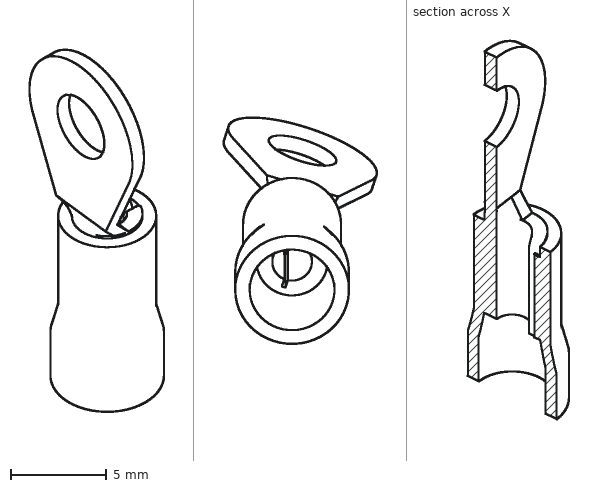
import cadquery as cq
import math

FLARE_DIAMETER = 5.97
SLEEVE_DIAMETER = 5.15
FLARE_BORE = 4.45
FLARE_HEIGHT = 2.98
TAPER_TOP = 4.7
SLEEVE_TOP = 10.92

BARREL_DIAMETER = 3.71
BARREL_BORE = 2.08
BARREL_TOP = 11.07
SEAM_WIDTH = 0.2
SEAM_DEPTH = 0.42
SEAM_ROUNDING = 0.85

TOTAL_HEIGHT = 22.1
RING_DIAMETER = 8.18
STUD_HOLE_DIAMETER = 3.71
TONGUE_BACK = -1.02
TONGUE_THICKNESS = 0.82
TONGUE_BOTTOM = 12.09
TONGUE_BASE_WIDTH = 3.93
SIDE_TOP_Z = 16.7

NECK_END_Y = -0.13
NECK_CORNER_Y = -0.97
NECK_INNER_HALF_WIDTH = 1.22

TONGUE_FRONT = TONGUE_BACK - TONGUE_THICKNESS
RING_RADIUS = RING_DIAMETER / 2
RING_CENTRE_Z = TOTAL_HEIGHT - RING_RADIUS
BARREL_RADIUS = BARREL_DIAMETER / 2
BARREL_BORE_RADIUS = BARREL_BORE / 2


def make_sleeve():
    """Revolved sleeve whose lower wire entry flares outwards."""
    profile = [
        (FLARE_BORE / 2, 0),
        (FLARE_DIAMETER / 2, 0),
        (FLARE_DIAMETER / 2, FLARE_HEIGHT),
        (SLEEVE_DIAMETER / 2, TAPER_TOP),
        (SLEEVE_DIAMETER / 2, SLEEVE_TOP),
        (BARREL_RADIUS, SLEEVE_TOP),
        (BARREL_RADIUS, TAPER_TOP),
        (FLARE_BORE / 2, FLARE_HEIGHT),
    ]
    return cq.Workplane("XZ").polyline(profile).close().revolve(360, (0, 0), (0, 1))


def make_barrel():
    """Tube with a seam on its +Y side and rounded seam corners at the top."""
    height = BARREL_TOP - TAPER_TOP
    tube = (
        cq.Workplane("XY", origin=(0, 0, TAPER_TOP))
        .circle(BARREL_RADIUS)
        .circle(BARREL_BORE_RADIUS)
        .extrude(height)
    )
    seam_end = BARREL_BORE_RADIUS + SEAM_DEPTH
    seam = (
        cq.Workplane("XY", origin=(0, seam_end / 2, TAPER_TOP))
        .rect(SEAM_WIDTH, seam_end)
        .extrude(height)
    )
    half_seam = SEAM_WIDTH / 2
    outer_x = half_seam + SEAM_ROUNDING
    low_z = BARREL_TOP - SEAM_ROUNDING
    mid_x = outer_x - SEAM_ROUNDING * math.sqrt(0.5)
    mid_z = low_z + SEAM_ROUNDING * math.sqrt(0.5)
    rounding = (
        cq.Workplane("XZ")
        .moveTo(-outer_x, BARREL_TOP)
        .threePointArc((-mid_x, mid_z), (-half_seam, low_z))
        .lineTo(half_seam, low_z)
        .threePointArc((mid_x, mid_z), (outer_x, BARREL_TOP))
        .close()
        .extrude(-BARREL_RADIUS)
    )
    return tube.cut(seam).cut(rounding)


def on_circle(radius, y):
    """Point on the +X half of a circle at the given Y."""
    return (math.sqrt(radius**2 - y**2), y)


def mirrored(point):
    return (-point[0], point[1])


def make_neck():
    """Ruled transition from the front part of the barrel ring to the tongue."""
    corner = on_circle(BARREL_RADIUS, NECK_CORNER_Y)
    side = on_circle(BARREL_RADIUS, (NECK_CORNER_Y + NECK_END_Y) / 2)
    outer_end = on_circle(BARREL_RADIUS, NECK_END_Y)
    inner_end = on_circle(BARREL_BORE_RADIUS, NECK_END_Y)
    half_base = TONGUE_BASE_WIDTH / 2
    return (
        cq.Workplane("XY", origin=(0, 0, BARREL_TOP))
        .moveTo(*mirrored(corner))
        .threePointArc((0, -BARREL_RADIUS), corner)
        .threePointArc(side, outer_end)
        .lineTo(*inner_end)
        .threePointArc((0, -BARREL_BORE_RADIUS), mirrored(inner_end))
        .lineTo(*mirrored(outer_end))
        .threePointArc(mirrored(side), mirrored(corner))
        .close()
        .workplane(offset=TONGUE_BOTTOM - BARREL_TOP)
        .moveTo(-half_base, TONGUE_FRONT)
        .lineTo(half_base, TONGUE_FRONT)
        .lineTo(half_base, TONGUE_BACK)
        .lineTo(NECK_INNER_HALF_WIDTH, TONGUE_BACK)
        .lineTo(-NECK_INNER_HALF_WIDTH, TONGUE_BACK)
        .lineTo(-half_base, TONGUE_BACK)
        .close()
        .loft(ruled=True)
    )


def make_tongue():
    """Ring plate with straight sides running up to the ring arc."""
    half_base = TONGUE_BASE_WIDTH / 2
    side_top_x = math.sqrt(RING_RADIUS**2 - (RING_CENTRE_Z - SIDE_TOP_Z) ** 2)
    plate = (
        cq.Workplane("XZ", origin=(0, TONGUE_BACK, 0))
        .moveTo(-half_base, TONGUE_BOTTOM)
        .lineTo(half_base, TONGUE_BOTTOM)
        .lineTo(side_top_x, SIDE_TOP_Z)
        .threePointArc((0, TOTAL_HEIGHT), (-side_top_x, SIDE_TOP_Z))
        .close()
        .extrude(TONGUE_THICKNESS)
    )
    stud_hole = (
        cq.Workplane("XZ", origin=(0, TONGUE_BACK, RING_CENTRE_Z))
        .circle(STUD_HOLE_DIAMETER / 2)
        .extrude(TONGUE_THICKNESS)
    )
    return plate.cut(stud_hole)


result = make_sleeve().union(make_barrel()).union(make_neck()).union(make_tongue())